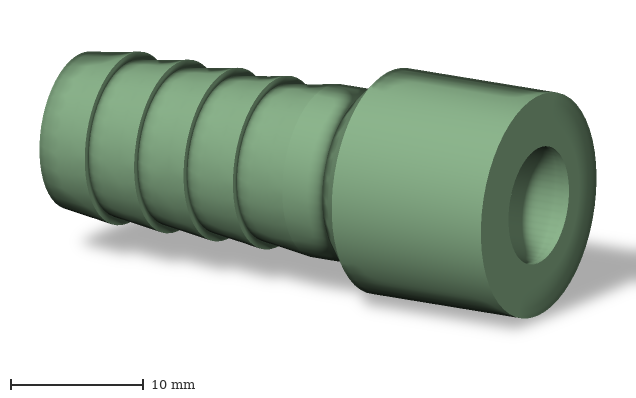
import cadquery as cq

total_length = 40.0
barb_count = 5
barb_section_length = 21.5
neck_end = 25.0
shoulder_end = 27.0

body_diameter = 17.2
barb_crest_diameter = 13.2
barb_root_diameter = 12.0
bore_diameter = 9.0

barb_pitch = barb_section_length / barb_count
body_radius = body_diameter / 2
crest_radius = barb_crest_diameter / 2
root_radius = barb_root_diameter / 2
bore_radius = bore_diameter / 2


def barb_points():
    """Sawtooth half-profile: each barb widens from root to crest along +X."""
    points = []
    for index in range(barb_count):
        start = index * barb_pitch
        points.append((start, root_radius))
        points.append((start + barb_pitch, crest_radius))
    return points


half_profile = [
    (0, bore_radius),
    *barb_points(),
    (neck_end, crest_radius),
    (shoulder_end, body_radius),
    (total_length, body_radius),
    (total_length, bore_radius),
]

result = (
    cq.Workplane("XY")
    .polyline(half_profile)
    .close()
    .revolve(360, (0, 0, 0), (1, 0, 0))
)